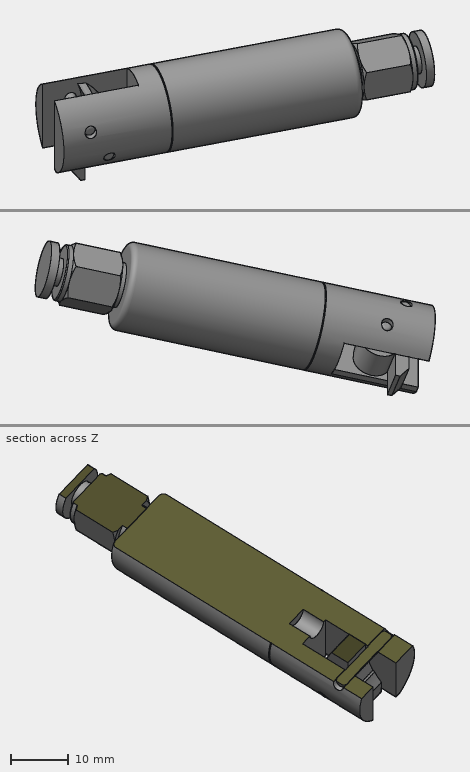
import cadquery as cq
import math


BODY_RADIUS = 7.9
BODY_LENGTH = 55.05
BODY_REAR_FILLET = 1.05
GROOVE_Y = 19.95
GROOVE_WIDTH = 0.2
GROOVE_DEPTH = 0.1

SLOT_LEFT = -4.0
SLOT_RIGHT = 2.5
SLOT_DEPTH = 15.45
FORK_FLAT_Z = -7.0

ROD_HOLE_RADIUS = 1.9
ROD_HOLE_Z = 3.0
ROD_HOLE_DEPTH = 4.5

STOP_PIN = (5.1, 2.8)
PIVOT_PIN = (8.55, -3.2)
PIN_RADIUS = 1.05
PIN_LENGTH = 13.95
PIN_END_FILLET = 0.55

FITTING_END = 69.0
BOSS_RADIUS = 4.0
HEX_START = 56.0
HEX_END = 65.0
HEX_ACROSS_FLATS = 10.0
HEX_CHAMFER_ANGLE = 30.0
FLANGE_RADIUS = HEX_ACROSS_FLATS / 2
RING_END = 66.0
RING_CHAMFER = 0.2
NECK_RADIUS = 2.5
COLLAR_WIDTH = 1.5

LEVER_WIDTH = 5.05
LEVER_HUB_RADIUS = 3.3
LEVER_BACK_RADIUS = 12.55
HOLLOW_RADIUS = 11.05
NOSE_RADIUS = 10.8
HOLLOW_CENTER = (-4.35, 2.55)
HOLLOW_LOW_Z = -3.25
NOSE_TOP_Z = -3.45
LEVER_TOP_Z = 6.55
LEVER_RIDGE_Z = 6.4
LEVER_RIDGE_FRONT = 6.5
LEVER_RIDGE_BACK = 6.9
LEVER_CREST_BACK = 7.5
NOSE_Y = 3.2
NOSE_BOTTOM_Z = -8.0
CLAW_TIP_Z = -10.4
CLAW_TIP_FRONT = 4.8
CLAW_BACK = 5.65


def cylinder_y(radius, start, end, z=0.0):
    """A cylinder along Y between two Y positions, centred on X = 0."""
    along_y = cq.Vector(0, 1, 0)
    base = cq.Vector(0, start, z)
    return cq.Workplane(cq.Solid.makeCylinder(radius, end - start, base, along_y))


def cylinder_x(radius, length, center):
    """A cylinder along X, centred on X = 0, at a (Y, Z) position."""
    return cq.Workplane("YZ", origin=(-length / 2, *center)).circle(radius).extrude(length)


def make_housing():
    housing = cylinder_y(BODY_RADIUS, 0, BODY_LENGTH).faces(">Y").edges().fillet(BODY_REAR_FILLET)

    groove_start = GROOVE_Y - GROOVE_WIDTH / 2
    groove_end = GROOVE_Y + GROOVE_WIDTH / 2
    groove = cylinder_y(2 * BODY_RADIUS, groove_start, groove_end)
    groove = groove.cut(cylinder_y(BODY_RADIUS - GROOVE_DEPTH, groove_start, groove_end))

    slot = cq.Workplane("XY").box(
        SLOT_RIGHT - SLOT_LEFT, SLOT_DEPTH, 2 * BODY_RADIUS, centered=(False, False, True)
    ).translate((SLOT_LEFT, 0, 0))
    flat_cut = cq.Workplane("XY").box(
        2 * BODY_RADIUS, SLOT_DEPTH, BODY_RADIUS, centered=(True, False, False)
    ).translate((0, 0, FORK_FLAT_Z - BODY_RADIUS))
    rod_hole = cylinder_y(ROD_HOLE_RADIUS, SLOT_DEPTH, SLOT_DEPTH + ROD_HOLE_DEPTH, z=ROD_HOLE_Z)

    housing = housing.cut(groove).cut(slot).cut(flat_cut).cut(rod_hole)
    for center in (STOP_PIN, PIVOT_PIN):
        housing = housing.cut(cylinder_x(PIN_RADIUS, 2 * BODY_RADIUS, center))
    return housing


def make_pin(center):
    return cylinder_x(PIN_RADIUS, PIN_LENGTH, center).edges("%CIRCLE").fillet(PIN_END_FILLET)


def make_hex():
    """Hexagon with a corner up, its corners turned off by a cone at both ends."""
    corner_radius = HEX_ACROSS_FLATS / math.sqrt(3)
    hexagon = (
        cq.Workplane("XZ", origin=(0, HEX_START, 0))
        .transformed(rotate=(0, 0, 90))
        .polygon(6, 2 * corner_radius)
        .extrude(HEX_START - HEX_END)
    )
    chamfer_length = (corner_radius - FLANGE_RADIUS) * math.tan(math.radians(HEX_CHAMFER_ANGLE))
    turned_blank = (
        cq.Workplane("XY")
        .moveTo(0, HEX_START)
        .lineTo(FLANGE_RADIUS, HEX_START)
        .lineTo(corner_radius, HEX_START + chamfer_length)
        .lineTo(corner_radius, HEX_END - chamfer_length)
        .lineTo(FLANGE_RADIUS, HEX_END)
        .lineTo(0, HEX_END)
        .close()
        .revolve(360, (0, 0, 0), (0, 1, 0))
    )
    return hexagon.intersect(turned_blank)


def make_fitting():
    collar_start = FITTING_END - COLLAR_WIDTH
    boss = cylinder_y(BOSS_RADIUS, BODY_LENGTH, HEX_START)
    ring = cylinder_y(FLANGE_RADIUS, HEX_END, RING_END).faces(">Y").edges().chamfer(RING_CHAMFER)
    neck = cylinder_y(NECK_RADIUS, RING_END, collar_start)
    collar = cylinder_y(FLANGE_RADIUS, collar_start, FITTING_END)
    return make_hex().union(boss).union(ring).union(neck).union(collar)


def arc_point(radius, z):
    """(Y, Z) point at height z on the +Y side of an arc about the hollow's centre."""
    center_y, center_z = HOLLOW_CENTER
    return (center_y + math.sqrt(radius**2 - (z - center_z) ** 2), z)


def make_lever():
    pivot_y, pivot_z = PIVOT_PIN

    hub_back = (pivot_y + LEVER_HUB_RADIUS, pivot_z)
    back_center_y = hub_back[0] - LEVER_BACK_RADIUS
    crest_angle = math.acos((LEVER_CREST_BACK - back_center_y) / LEVER_BACK_RADIUS)

    def back_point(angle):
        return (
            back_center_y + LEVER_BACK_RADIUS * math.cos(angle),
            pivot_z + LEVER_BACK_RADIUS * math.sin(angle),
        )

    claw_root_z = pivot_z - math.sqrt(LEVER_HUB_RADIUS**2 - (CLAW_BACK - pivot_y) ** 2)
    hub_middle_angle = math.atan2(claw_root_z - pivot_z, CLAW_BACK - pivot_y) / 2
    hub_middle = (
        pivot_y + LEVER_HUB_RADIUS * math.cos(hub_middle_angle),
        pivot_z + LEVER_HUB_RADIUS * math.sin(hub_middle_angle),
    )

    nose_corner_z = HOLLOW_CENTER[1] - math.sqrt(NOSE_RADIUS**2 - (NOSE_Y - HOLLOW_CENTER[0]) ** 2)
    nose_middle_z = (NOSE_TOP_Z + nose_corner_z) / 2

    profile = (
        cq.Workplane("YZ", origin=(SLOT_RIGHT - LEVER_WIDTH, 0, 0))
        .moveTo(CLAW_BACK, CLAW_TIP_Z)
        .lineTo(CLAW_BACK, claw_root_z)
        .threePointArc(hub_middle, hub_back)
        .threePointArc(back_point(crest_angle / 2), back_point(crest_angle))
        .lineTo(LEVER_RIDGE_BACK, LEVER_RIDGE_Z)
        .lineTo(LEVER_RIDGE_FRONT, LEVER_RIDGE_Z)
        .lineTo(*arc_point(HOLLOW_RADIUS, LEVER_TOP_Z))
        .threePointArc(arc_point(HOLLOW_RADIUS, HOLLOW_CENTER[1]), arc_point(HOLLOW_RADIUS, HOLLOW_LOW_Z))
        .lineTo(*arc_point(NOSE_RADIUS, NOSE_TOP_Z))
        .threePointArc(arc_point(NOSE_RADIUS, nose_middle_z), (NOSE_Y, nose_corner_z))
        .lineTo(NOSE_Y, NOSE_BOTTOM_Z)
        .lineTo(CLAW_TIP_FRONT, CLAW_TIP_Z)
        .close()
    )
    return profile.extrude(LEVER_WIDTH).cut(cylinder_x(PIN_RADIUS, 2 * LEVER_WIDTH, PIVOT_PIN))


housing = make_housing()
fitting = make_fitting()
lever = make_lever()
pins = [make_pin(center) for center in (STOP_PIN, PIVOT_PIN)]

result = cq.Compound.makeCompound(
    [housing.val(), fitting.val(), lever.val(), *[pin.val() for pin in pins]]
)